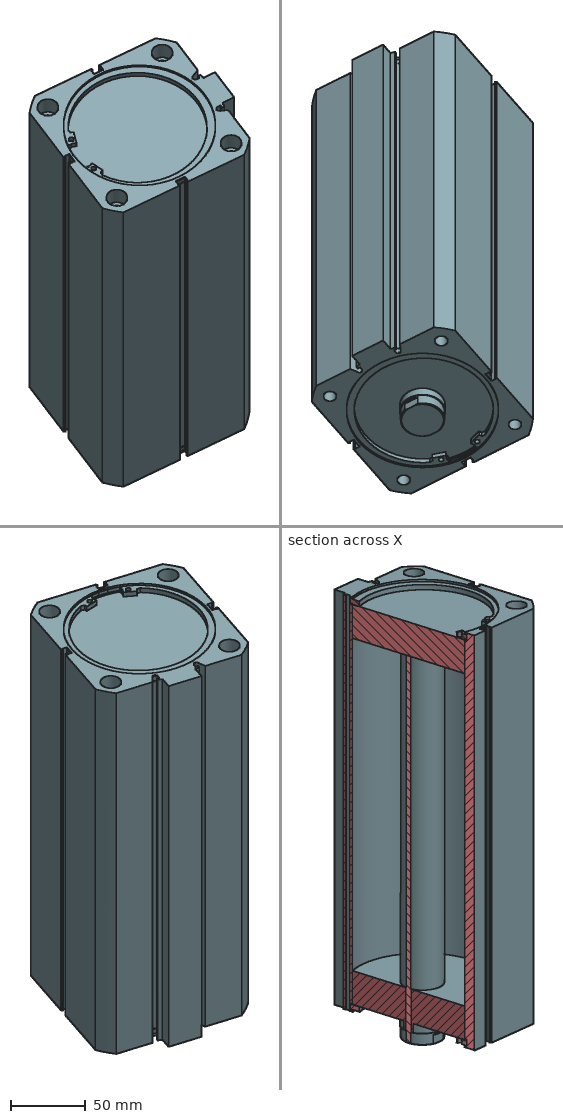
import cadquery as cq
import math

TOTAL_LENGTH = 310.0
ROD_STICK_OUT = 10.0
BODY_WIDTH = 115.0
BODY_HALF = BODY_WIDTH / 2
BODY_BOTTOM = ROD_STICK_OUT
BODY_TOP = TOTAL_LENGTH
BODY_LENGTH = BODY_TOP - BODY_BOTTOM
CORNER_RADIUS = 74.5

TOTAL_DEPTH = 124.0
RAIL_TOP = TOTAL_DEPTH - BODY_HALF
RAIL_HALF_WIDTH = 12.5
RAIL_LIP_WIDTH = 3.0
RAIL_LIP_THICKNESS = 2.0
RAIL_GROOVE_DEPTH = 6.5
RAIL_GROOVE_OUTER = 17.5
RAIL_GROOVE_MOUTH = 19.8
RAIL_GROOVE_INNER = 13.5
RAIL_GROOVE_ROUNDING = 1.5
RAIL_LIP_DROP = 0.5

SLOT_MOUTH_WIDTH = 6.2
SLOT_THROAT_WIDTH = 5.0
SLOT_FLARE = 0.5
SLOT_INNER_WIDTH = 7.0
SLOT_LIP = 1.2
SLOT_DEPTH = 4.5

HOLE_OFFSET = 44.5
HOLE_DIAMETER = 8.7
COUNTERBORE_DIAMETER = 14.0
COUNTERBORE_DEPTH = 14.0

BORE_RADIUS = 50.8
GROOVE_RADIUS = 52.7
RING_RECESS = 1.5
RING_THICKNESS = 3.7
GROOVE_WIDTH = 4.3
COVER_RECESS = RING_RECESS + RING_THICKNESS
COVER_THICKNESS = 24.8
HEAD_COVER_BOTTOM = BODY_TOP - COVER_RECESS - COVER_THICKNESS

RING_INNER_RADIUS = 46.5
RING_INNER_SHIFT = 1.5
EAR_ANGLE = 19.2
EAR_WIDTH = 9.3
EAR_INNER = 44.0
EAR_FLARE_START = 46.2
EAR_FLARE_END = 47.7
EAR_FLARE_REACH = 8.0
EAR_HOLE_ANGLE = 18.0
EAR_HOLE_RADIUS = 46.8
EAR_HOLE_DIAMETER = 3.5
GAP_HALF_ANGLE = 12.9

ROD_DIAMETER = 29.5
ROD_CHAMFER = 0.5
FLAT_WIDTH = 27.5
FLAT_LENGTH = 6.8
COLLAR_DIAMETER = 30.5
COLLAR_STICK_OUT = 1.2


def disc(radius, bottom, height):
    return cq.Workplane("XY").workplane(offset=bottom).circle(radius).extrude(height)


def make_blank():
    """Square column with corners cut by one large cylinder about the bore axis."""
    base = cq.Workplane("XY").workplane(offset=BODY_BOTTOM)
    column = base.rect(BODY_WIDTH, BODY_WIDTH).extrude(BODY_LENGTH)
    return column.intersect(disc(CORNER_RADIUS, BODY_BOTTOM, BODY_LENGTH))


def make_rail():
    rail_bottom = BODY_HALF - RAIL_GROOVE_DEPTH
    return (
        cq.Workplane("XY")
        .workplane(offset=BODY_BOTTOM)
        .center(0, (RAIL_TOP + rail_bottom) / 2)
        .rect(2 * RAIL_HALF_WIDTH, RAIL_TOP - rail_bottom)
        .extrude(BODY_LENGTH)
    )


def make_rail_groove():
    """Hooked groove with a rounded floor, along the +X side of the rail."""
    floor = BODY_HALF - RAIL_GROOVE_DEPTH
    wall_bottom = floor + RAIL_GROOVE_ROUNDING
    lip_bottom = BODY_HALF - RAIL_LIP_DROP - RAIL_LIP_THICKNESS
    lip_edge = RAIL_HALF_WIDTH + RAIL_LIP_WIDTH
    return (
        cq.Workplane("XY")
        .workplane(offset=BODY_BOTTOM)
        .moveTo(RAIL_HALF_WIDTH, BODY_HALF)
        .lineTo(lip_edge, BODY_HALF - RAIL_LIP_DROP)
        .lineTo(lip_edge, lip_bottom)
        .lineTo(RAIL_GROOVE_INNER, lip_bottom)
        .lineTo(RAIL_GROOVE_INNER, wall_bottom)
        .threePointArc(((RAIL_GROOVE_INNER + RAIL_GROOVE_OUTER) / 2, floor), (RAIL_GROOVE_OUTER, wall_bottom))
        .lineTo(RAIL_GROOVE_MOUTH, BODY_HALF)
        .close()
        .extrude(BODY_LENGTH)
    )


def make_t_slot(angle):
    """T-slot with a flared mouth, cut into the +X side and turned about the bore axis."""
    half_outline = [
        (BODY_HALF, SLOT_MOUTH_WIDTH / 2),
        (BODY_HALF - SLOT_FLARE, SLOT_THROAT_WIDTH / 2),
        (BODY_HALF - SLOT_LIP, SLOT_THROAT_WIDTH / 2),
        (BODY_HALF - SLOT_LIP, SLOT_INNER_WIDTH / 2),
        (BODY_HALF - SLOT_DEPTH, SLOT_INNER_WIDTH / 2),
    ]
    outline = half_outline + [(x, -y) for x, y in reversed(half_outline)]
    slot = cq.Workplane("XY").workplane(offset=BODY_BOTTOM).polyline(outline).close().extrude(BODY_LENGTH)
    return slot.rotate((0, 0, 0), (0, 0, 1), angle)


def make_housing():
    rail_groove = make_rail_groove()
    housing = make_blank().union(make_rail()).cut(rail_groove).cut(rail_groove.mirror("YZ"))
    for angle in (0, 180, 270):
        housing = housing.cut(make_t_slot(angle))
    housing = (
        housing.cut(disc(BORE_RADIUS, BODY_BOTTOM, BODY_LENGTH))
        .cut(disc(GROOVE_RADIUS, BODY_BOTTOM + RING_RECESS, GROOVE_WIDTH))
        .cut(disc(GROOVE_RADIUS, BODY_TOP - RING_RECESS - GROOVE_WIDTH, GROOVE_WIDTH))
    )
    for x in (-HOLE_OFFSET, HOLE_OFFSET):
        for y in (-HOLE_OFFSET, HOLE_OFFSET):
            hole = disc(HOLE_DIAMETER / 2, BODY_BOTTOM, BODY_LENGTH)
            counterbore = disc(COUNTERBORE_DIAMETER / 2, BODY_TOP - COUNTERBORE_DEPTH, COUNTERBORE_DEPTH)
            housing = housing.cut(hole.union(counterbore).translate((x, y, 0)))
    return housing


def make_ring_ear(bottom):
    """Ear, not yet drilled, at the +X end of the ring, with a flared root."""
    near = -EAR_WIDTH / 2
    far = EAR_WIDTH / 2
    outline = [
        (near, -EAR_INNER),
        (far, -EAR_INNER),
        (far, -EAR_FLARE_START),
        (EAR_FLARE_REACH, -EAR_FLARE_END),
        (EAR_FLARE_REACH, -GROOVE_RADIUS),
        (near, -GROOVE_RADIUS),
    ]
    ear = cq.Workplane("XY").workplane(offset=bottom).polyline(outline).close().extrude(RING_THICKNESS)
    return ear.rotate((0, 0, 0), (0, 0, 1), EAR_ANGLE)


def make_retaining_ring(bottom):
    """Snap ring with its gap on the -Y side and a drilled ear at each end."""
    outer = disc(GROOVE_RADIUS, bottom, RING_THICKNESS)
    inner = disc(RING_INNER_RADIUS, bottom, RING_THICKNESS).translate((0, -RING_INNER_SHIFT, 0))

    gap_reach = 2 * GROOVE_RADIUS
    gap_half_width = gap_reach * math.tan(math.radians(GAP_HALF_ANGLE))
    gap_outline = [(0, 0), (-gap_half_width, -gap_reach), (gap_half_width, -gap_reach)]
    gap = cq.Workplane("XY").workplane(offset=bottom).polyline(gap_outline).close().extrude(RING_THICKNESS)

    ear = make_ring_ear(bottom).intersect(outer)
    ring = outer.cut(inner).union(ear).union(ear.mirror("YZ")).cut(gap)
    ear_hole = disc(EAR_HOLE_DIAMETER / 2, bottom, RING_THICKNESS).translate((0, -EAR_HOLE_RADIUS, 0))
    for angle in (-EAR_HOLE_ANGLE, EAR_HOLE_ANGLE):
        ring = ring.cut(ear_hole.rotate((0, 0, 0), (0, 0, 1), angle))
    return ring


def make_head_cover():
    return disc(BORE_RADIUS, HEAD_COVER_BOTTOM, COVER_THICKNESS)


def make_rod_cover():
    """Disc inside the bore with a collar that guides the rod out of the body."""
    collar_bottom = BODY_BOTTOM - COLLAR_STICK_OUT
    plate_bottom = BODY_BOTTOM + COVER_RECESS
    plate = disc(BORE_RADIUS, plate_bottom, COVER_THICKNESS)
    collar = disc(COLLAR_DIAMETER / 2, collar_bottom, plate_bottom - collar_bottom)
    return plate.union(collar).cut(disc(ROD_DIAMETER / 2, 0, TOTAL_LENGTH))


def make_rod():
    """Plain rod up to the head cover, with two wrench flats at its tip."""
    rod = disc(ROD_DIAMETER / 2, 0, HEAD_COVER_BOTTOM)
    rod = rod.faces("<Z").chamfer(ROD_CHAMFER)
    flats = cq.Workplane("XY").rect(ROD_DIAMETER, FLAT_WIDTH).extrude(FLAT_LENGTH)
    tip = disc(ROD_DIAMETER / 2, 0, FLAT_LENGTH)
    return rod.cut(tip.cut(flats))


housing = make_housing()
head_cover = make_head_cover()
rod_cover = make_rod_cover()
rod = make_rod()
ring_bottoms = (BODY_BOTTOM + RING_RECESS, BODY_TOP - COVER_RECESS)
rings = [make_retaining_ring(bottom) for bottom in ring_bottoms]

result = cq.Compound.makeCompound(
    [housing.val(), head_cover.val(), rod_cover.val(), rod.val(), *[ring.val() for ring in rings]]
)